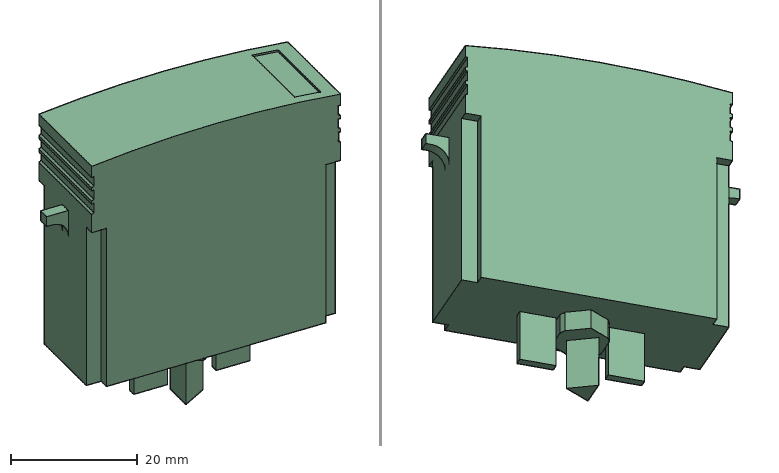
import cadquery as cq
import math

WIDTH = 17.5
DEPTH = 44.6
TOP = 55.3
CROWN_RISE = 1.25
CROWN_FACETS = 6
HOUSING_BOTTOM = 12.1
HALF_DEPTH = DEPTH / 2

REBATE_WIDTH = 1.75
REBATE_DEPTH = 2.65
REBATE_TOP = 41.65

GROOVE_COUNT = 3
GROOVE_PITCH = 2.5
FIRST_GROOVE_TOP = 51.9
GROOVE_HEIGHT = 1.95
GROOVE_DEPTH = 0.4
GROOVE_BEVEL = 0.3

LABEL_WIDTH = 14.05
LABEL_MARGIN = 2.65
LABEL_DEPTH = 0.35
LABEL_EDGE_GAP = 0.1

LATCH_WIDTH = 2.0
LATCH_TIP = 26.2
LATCH_TOP = 41.5
LATCH_THICKNESS = 1.8
LATCH_RADIUS = 3.0

BLADE_THICKNESS = 1.45
BLADE_WIDTH = 6.1
BLADE_SPACING = 14.75
BLADE_BOTTOM = 3.4

COLLAR_RADIUS = 4.75
COLLAR_X = -0.15
COLLAR_BOTTOM = 8.75
COLLAR_BEVEL = 0.6
PIN_SIDE = 5.2
PIN_FRONT = -2.1


def box(x_size, y_size, bottom, top, x=0.0, y=0.0):
    """Upright box centred at (x, y) between two heights."""
    base = cq.Workplane("XY", origin=(x, y, bottom))
    return base.rect(x_size, y_size).extrude(top - bottom)


def across_x(outline, width):
    """Prism of a closed YZ outline, centred on X."""
    return outline.close().extrude(width / 2, both=True)


def both_ends(solid):
    """The solid together with its mirror image at the opposite end."""
    return solid.union(solid.mirror("XZ"))


def crown_points():
    """Facet corners of the crown, spaced equally along a circular arc."""
    radius = (HALF_DEPTH**2 + CROWN_RISE**2) / (2 * CROWN_RISE)
    half_angle = math.asin(HALF_DEPTH / radius)
    points = []
    for i in range(CROWN_FACETS + 1):
        angle = half_angle * (1 - 2 * i / CROWN_FACETS)
        points.append((radius * math.sin(angle), TOP - radius * (1 - math.cos(angle))))
    return points


def housing():
    outline = cq.Workplane("YZ").moveTo(-HALF_DEPTH, HOUSING_BOTTOM).lineTo(HALF_DEPTH, HOUSING_BOTTOM)
    for point in crown_points():
        outline = outline.lineTo(*point)
    body = across_x(outline, WIDTH)
    for x_side in (-1, 1):
        for y_side in (-1, 1):
            body = body.cut(box(2 * REBATE_WIDTH, 2 * REBATE_DEPTH, HOUSING_BOTTOM, REBATE_TOP,
                                x_side * WIDTH / 2, y_side * HALF_DEPTH))
    return body


def groove(top):
    """Square-topped groove whose lower edge slopes out to the end face."""
    floor = HALF_DEPTH - GROOVE_DEPTH
    bottom = top - GROOVE_HEIGHT
    outline = (
        cq.Workplane("YZ")
        .moveTo(HALF_DEPTH, top)
        .lineTo(floor, top)
        .lineTo(floor, bottom + GROOVE_BEVEL)
        .lineTo(HALF_DEPTH, bottom)
    )
    return both_ends(across_x(outline, WIDTH))


def label_recess():
    """Shallow recess with its floor parallel to the facet and its walls square to it."""
    (rear_y, rear_z), (front_y, front_z) = crown_points()[:2]
    slope = math.degrees(math.atan2(rear_z - front_z, rear_y - front_y))
    length = math.hypot(rear_y - front_y, rear_z - front_z) - LABEL_MARGIN - LABEL_EDGE_GAP
    recess = box(LABEL_WIDTH, length, -LABEL_DEPTH, LABEL_DEPTH, y=LABEL_EDGE_GAP + length / 2)
    return recess.rotate((0, 0, 0), (1, 0, 0), slope).translate((0, front_y, front_z))


def latches():
    underside = LATCH_TOP - LATCH_THICKNESS
    arc_y = HALF_DEPTH + LATCH_RADIUS
    arc_z = underside - LATCH_RADIUS
    arc_offset = LATCH_RADIUS * math.sqrt(0.5)
    outline = (
        cq.Workplane("YZ")
        .moveTo(HALF_DEPTH, LATCH_TOP)
        .lineTo(LATCH_TIP, LATCH_TOP)
        .lineTo(LATCH_TIP, underside)
        .lineTo(arc_y, underside)
        .threePointArc((arc_y - arc_offset, arc_z + arc_offset), (HALF_DEPTH, arc_z))
    )
    return both_ends(across_x(outline, LATCH_WIDTH))


def collar():
    base = cq.Workplane("XY", origin=(COLLAR_X, 0, COLLAR_BOTTOM))
    hexagon = base.polygon(6, 2 * COLLAR_RADIUS).extrude(HOUSING_BOTTOM - COLLAR_BOTTOM)
    left_x = COLLAR_X - 0.75 * COLLAR_RADIUS
    corners = cq.selectors.BoxSelector(
        (left_x, -COLLAR_RADIUS, COLLAR_BOTTOM), (COLLAR_X, COLLAR_RADIUS, HOUSING_BOTTOM)
    )
    return hexagon.edges("|Z").edges(corners).chamfer(COLLAR_BEVEL)


def pin():
    """Equilateral triangular pin with a flat front face."""
    apex = PIN_FRONT + PIN_SIDE * math.sqrt(3) / 2
    corners = [(-PIN_SIDE / 2, PIN_FRONT), (PIN_SIDE / 2, PIN_FRONT), (0, apex)]
    return cq.Workplane("XY").polyline(corners).close().extrude(COLLAR_BOTTOM)


result = housing().cut(label_recess())
for index in range(GROOVE_COUNT):
    result = result.cut(groove(FIRST_GROOVE_TOP - index * GROOVE_PITCH))
result = result.union(latches()).union(collar()).union(pin())
blade = box(BLADE_THICKNESS, BLADE_WIDTH, BLADE_BOTTOM, HOUSING_BOTTOM, y=BLADE_SPACING / 2)
result = result.union(both_ends(blade))